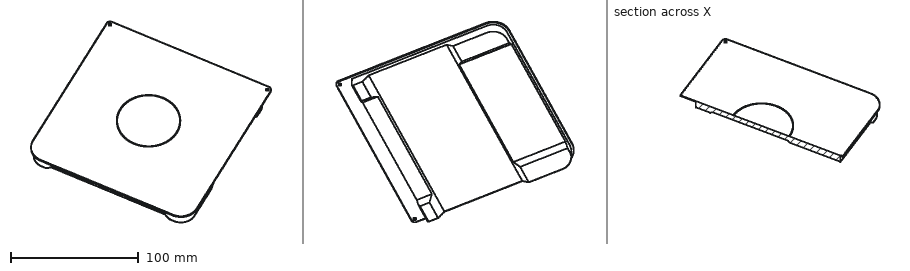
import cadquery as cq

plate_size = 144.0
total_height = 11.4
plate_thickness = 1.4
plate_front_radius = 14.0
plate_back_radius = 3.0

hole_diameter = 2.0
hole_edge_distance = plate_back_radius

ring_outer_diameter = 50.0
ring_width = 0.5
ring_depth = 0.2

base_inset = 2.0
base_back_inset = 13.6
base_height = total_height - plate_thickness
base_front_radius = plate_front_radius - base_inset
base_back_edge_chamfer = 1.0

front_channel_height = 4.0
front_channel_roof_width = 100.0
side_channel_height = 5.5
side_channel_roof_back_y = 43.8
side_channel_roof_front_y = -23.5

half_plate = plate_size / 2
base_half_width = half_plate - base_inset
base_front_y = -base_half_width
base_back_y = half_plate - base_back_inset


def make_plate():
    plate = cq.Workplane("XY").workplane(offset=base_height)
    plate = plate.rect(plate_size, plate_size).extrude(plate_thickness)
    plate = plate.edges("|Z and <Y").fillet(plate_front_radius)
    return plate.edges("|Z and >Y").fillet(plate_back_radius)


def make_base():
    base = cq.Workplane("XY").box(
        2 * base_half_width, base_back_y - base_front_y, base_height, centered=(True, False, False)
    )
    base = base.translate((0, base_front_y, 0))
    base = base.edges("|Z and <Y").fillet(base_front_radius)
    return base.edges(">Y and <Z").chamfer(base_back_edge_chamfer)


def make_channel(plane, roof_start, roof_end, height):
    """Channel with a flat roof and 45 degree sides, running both ways from the plane."""
    profile = [
        (roof_start - height, 0),
        (roof_start, height),
        (roof_end, height),
        (roof_end + height, 0),
    ]
    return cq.Workplane(plane).polyline(profile).close().extrude(half_plate, both=True)


def make_corner_holes():
    hole_offset = half_plate - hole_edge_distance
    centers = [(-hole_offset, hole_offset), (hole_offset, hole_offset)]
    holes = cq.Workplane("XY").workplane(offset=base_height).pushPoints(centers)
    return holes.circle(hole_diameter / 2).extrude(plate_thickness)


def make_ring_groove():
    outer_radius = ring_outer_diameter / 2
    ring = cq.Workplane("XY").workplane(offset=total_height - ring_depth)
    return ring.circle(outer_radius).circle(outer_radius - ring_width).extrude(ring_depth)


half_roof = front_channel_roof_width / 2
front_channel = make_channel("XZ", -half_roof, half_roof, front_channel_height)
side_channel = make_channel(
    "YZ", side_channel_roof_front_y, side_channel_roof_back_y, side_channel_height
)

base = make_base().cut(front_channel).cut(side_channel)
result = make_plate().union(base).cut(make_corner_holes()).cut(make_ring_groove())